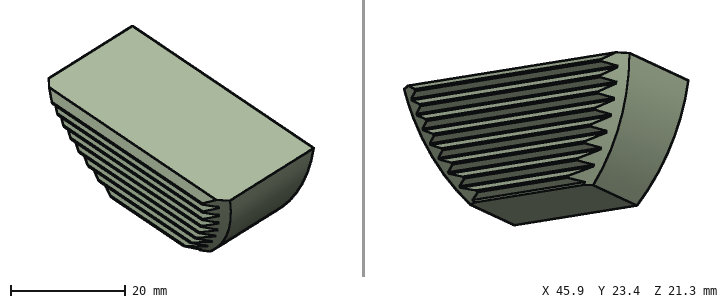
import cadquery as cq
import math

top_width = 45.85
height = 21.3
bottom_width = 24.95
side_radius = 39.6

tooth_count = 8
tooth_pitch = 2.65
face_tilt = 15.0
crest_depth = 23.4
crest_drop = 1.3
crest_land = 0.35
root_depth = 21.25
root_drop = 2.25
root_land = 0.27
upper_flank_angle = 43.0

bevel_tilt = 7.2
bevel_half_angle = 47.8
bevel_apex_depth = 59.8
bevel_apex_height = 6.7
bevel_apex_offset = 17.65
bevel_length = 82.5

tilt_slope = math.tan(math.radians(face_tilt))


def side_midpoint():
    """Point halfway along the right-hand side arc, as (x, z)."""
    run = (top_width - bottom_width) / 2
    chord = math.hypot(run, height)
    bulge = side_radius - math.sqrt(side_radius**2 - (chord / 2) ** 2)
    x = (top_width + bottom_width) / 4 + bulge * height / chord
    z = -height / 2 - bulge * run / chord
    return x, z


def curved_block():
    """Full-depth block with two bowed sides that narrow towards the bottom."""
    mid_x, mid_z = side_midpoint()
    return (
        cq.Workplane("XZ")
        .moveTo(-top_width / 2, 0)
        .lineTo(top_width / 2, 0)
        .threePointArc((mid_x, mid_z), (bottom_width / 2, -height))
        .lineTo(-bottom_width / 2, -height)
        .threePointArc((-mid_x, mid_z), (-top_width / 2, 0))
        .close()
        .extrude(crest_depth)
    )


def serrated_slab():
    """Side profile with the leaning row of teeth, wide enough to span the block."""
    top_corner_depth = crest_depth - crest_drop / math.tan(math.radians(upper_flank_angle))
    outline = [(0, 0), (-top_corner_depth, 0)]
    for tooth in range(tooth_count):
        drop = tooth * tooth_pitch
        setback = drop * tilt_slope
        outline += [
            (setback - crest_depth, -drop - crest_drop),
            (setback - crest_depth + crest_land * tilt_slope, -drop - crest_drop - crest_land),
            (setback - root_depth, -drop - root_drop),
            (setback - root_depth + root_land * tilt_slope, -drop - root_drop - root_land),
        ]
    last_root_y, last_root_z = outline[-1]
    outline += [(last_root_y + (last_root_z + height) * tilt_slope, -height), (0, -height)]
    return cq.Workplane("YZ").polyline(outline).close().extrude(top_width / 2, both=True)


def bevel_cone(side):
    """Cone bounding the bevel on one side (+1 right, -1 left), pointing to -Y and slightly down."""
    tilt = math.radians(bevel_tilt)
    axis = cq.Vector(0, -math.cos(tilt), -math.sin(tilt))
    apex = cq.Vector(-side * bevel_apex_offset, -bevel_apex_depth, bevel_apex_height)
    base_radius = bevel_length * math.tan(math.radians(bevel_half_angle))
    return cq.Solid.makeCone(base_radius, 0, bevel_length, apex - axis * bevel_length, axis)


body = curved_block().intersect(serrated_slab())
for side in (-1, 1):
    body = body.intersect(cq.Workplane(obj=bevel_cone(side)))

result = body